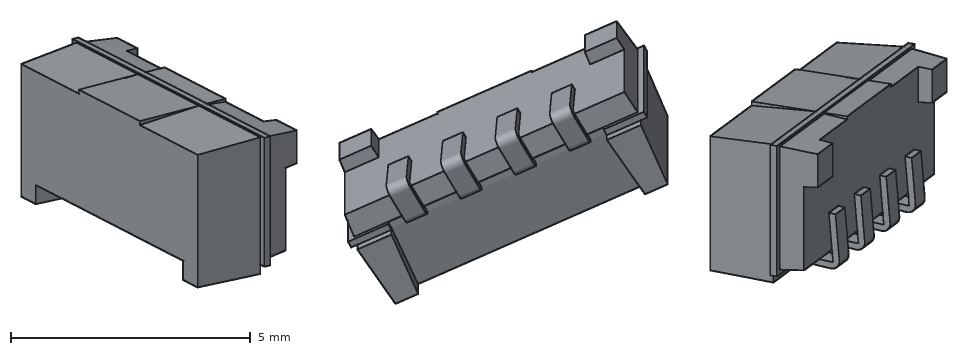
import cadquery as cq
import math

PLATE_WIDTH = 6.9
PLATE_BOTTOM = 0.21
PLATE_TOP = 3.1
FRONT_DEPTH = 1.51
PLATE_THICKNESS = 0.15
PLATE_BACK = FRONT_DEPTH + PLATE_THICKNESS

DRAFT = math.tan(math.radians(5))
BODY_HALF_WIDTH = PLATE_WIDTH / 2 - 0.145
FRONT_TOP = 3.065
FRONT_TOP_DROP = 0.09
LEG_WIDTH = 0.795
NOTCH_HEIGHT = 0.3

REAR_TOP = 3.04
REAR_BOTTOM = 0.31
REAR_DEPTH = 0.53
REAR_BACK = PLATE_BACK + REAR_DEPTH

FOOT_BACK = 2.5
FOOT_INNER = 2.46
FOOT_BOTTOM = 2.21

PAD_WIDTH = 2.195
PAD_HEIGHT = 0.14

PIN_COUNT = 4
PIN_PITCH = 1.27
PIN_WIDTH = 0.47
PIN_THICKNESS = PLATE_THICKNESS
PIN_TILT = math.radians(5)
PIN_HEEL_Y = 2.51
PIN_HEEL_Z = 0.03
PIN_BLADE_LENGTH = 1.24
PIN_OUTER_RADIUS = 0.185
PIN_INNER_RADIUS = 0.03
PIN_STEM_TOP = 0.55


def block(x_min, x_max, y_min, y_max, z_min, z_max):
    """Box given by its limits along each axis."""
    size = (x_max - x_min, y_max - y_min, z_max - z_min)
    return cq.Workplane("XY").box(*size, centered=False).translate((x_min, y_min, z_min))


def tapered(near_outline, near_y, far_outline, far_y):
    """Straight-sided solid between two XZ outlines with matching corners."""
    wires = [
        cq.Wire.makePolygon([cq.Vector(x, y, z) for x, z in outline], close=True)
        for outline, y in ((near_outline, near_y), (far_outline, far_y))
    ]
    return cq.Workplane(cq.Solid.makeLoft(wires, True))


def front_outline(inset, top):
    """Bridge-shaped section standing on two legs."""
    outer = BODY_HALF_WIDTH - inset
    inner = BODY_HALF_WIDTH - LEG_WIDTH + inset
    notch = NOTCH_HEIGHT + inset
    return [
        (-outer, 0), (-inner, 0), (-inner, notch), (inner, notch),
        (inner, 0), (outer, 0), (outer, top), (-outer, top),
    ]


def rectangle(x_min, x_max, z_min, z_max):
    return [(x_min, z_min), (x_max, z_min), (x_max, z_max), (x_min, z_max)]


def rear_outline(inset):
    half = BODY_HALF_WIDTH - inset
    return rectangle(-half, half, REAR_BOTTOM + inset, REAR_TOP - inset)


def foot_outline(y):
    """Section of the foot on the +X side at depth y, following the body draft."""
    inset = (y - PLATE_BACK) * DRAFT
    foot_inset = (y - REAR_BACK) * DRAFT
    return rectangle(
        FOOT_INNER + foot_inset, BODY_HALF_WIDTH - inset, FOOT_BOTTOM + foot_inset, REAR_TOP - inset
    )


def make_pin(x_center):
    """Pin leaving the plate's lower edge, bent back and then up behind the body."""
    def from_heel(forward, up):
        y = PIN_HEEL_Y - forward * math.cos(PIN_TILT) - up * math.sin(PIN_TILT)
        z = PIN_HEEL_Z + up * math.cos(PIN_TILT) + forward * math.sin(PIN_TILT)
        return y, z

    arm_to_front = (PIN_HEEL_Y - FRONT_DEPTH) / math.cos(PIN_TILT)
    arm_to_back = (PIN_HEEL_Y - PLATE_BACK - PIN_THICKNESS * math.sin(PIN_TILT)) / math.cos(PIN_TILT)
    heel = from_heel(0, 0)
    inner_heel = from_heel(PIN_THICKNESS, PIN_THICKNESS)
    plate_bend = from_heel(arm_to_front, 0)
    outline = [
        heel,
        plate_bend,
        (FRONT_DEPTH, PIN_STEM_TOP),
        (PLATE_BACK, PIN_STEM_TOP),
        from_heel(arm_to_back, PIN_THICKNESS),
        inner_heel,
        from_heel(PIN_THICKNESS, PIN_BLADE_LENGTH),
        from_heel(0, PIN_BLADE_LENGTH),
    ]
    pin = cq.Workplane("YZ").polyline(outline).close().extrude(PIN_WIDTH / 2, both=True)
    for corner, radius in (
        (heel, PIN_OUTER_RADIUS), (plate_bend, PIN_THICKNESS), (inner_heel, PIN_INNER_RADIUS)
    ):
        pin = pin.edges(cq.selectors.NearestToPointSelector((0, *corner))).fillet(radius)
    return pin.translate((x_center, 0, 0))


plate = block(-PLATE_WIDTH / 2, PLATE_WIDTH / 2, FRONT_DEPTH, PLATE_BACK, PLATE_BOTTOM, PLATE_TOP)
plate_notch_half = BODY_HALF_WIDTH - LEG_WIDTH
plate = plate.cut(
    block(-plate_notch_half, plate_notch_half, FRONT_DEPTH, PLATE_BACK, PLATE_BOTTOM, NOTCH_HEIGHT)
)
front_body = tapered(
    front_outline(FRONT_DEPTH * DRAFT, FRONT_TOP - FRONT_TOP_DROP), 0,
    front_outline(0, FRONT_TOP), FRONT_DEPTH,
)
rear_body = tapered(rear_outline(0), PLATE_BACK, rear_outline(REAR_DEPTH * DRAFT), REAR_BACK)
foot = tapered(foot_outline(REAR_BACK), REAR_BACK, foot_outline(FOOT_BACK), FOOT_BACK)
pad = block(-PAD_WIDTH / 2, PAD_WIDTH / 2, 0, REAR_BACK, FRONT_TOP - PAD_HEIGHT, FRONT_TOP)

result = plate.union(front_body).union(rear_body).union(pad)
result = result.union(foot).union(foot.mirror("YZ"))
for index in range(PIN_COUNT):
    result = result.union(make_pin((index - (PIN_COUNT - 1) / 2) * PIN_PITCH))